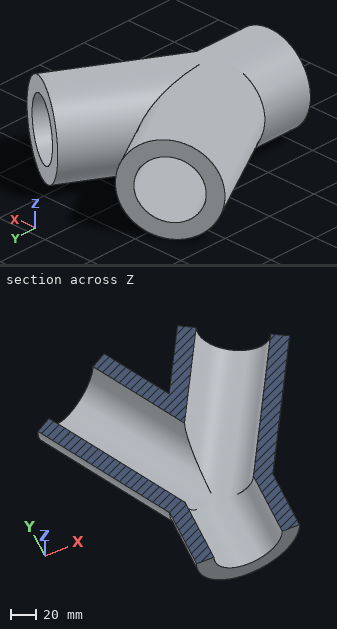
import cadquery as cq
import math

overall_width = 216.7
outer_diameter = 88.8
bore_diameter = 58.5
stem_length = 63.5
branch_angle = 30.0

angle = math.radians(branch_angle)
rim_reach = outer_diameter / 2 * math.cos(angle)
branch_length = (overall_width / 2 - rim_reach) / math.sin(angle)


def rod(diameter, length, direction):
    """Cylinder that starts at the junction, where the three axes meet."""
    return cq.Workplane(
        cq.Solid.makeCylinder(diameter / 2, length, cq.Vector(0, 0, 0), direction)
    )


def y_shape(diameter):
    """Stem and both branches as one solid of a single diameter."""
    body = rod(diameter, stem_length, cq.Vector(0, -1, 0))
    for side in (-1, 1):
        branch_direction = cq.Vector(side * math.sin(angle), math.cos(angle), 0)
        body = body.union(rod(diameter, branch_length, branch_direction))
    return body


result = y_shape(outer_diameter).cut(y_shape(bore_diameter))